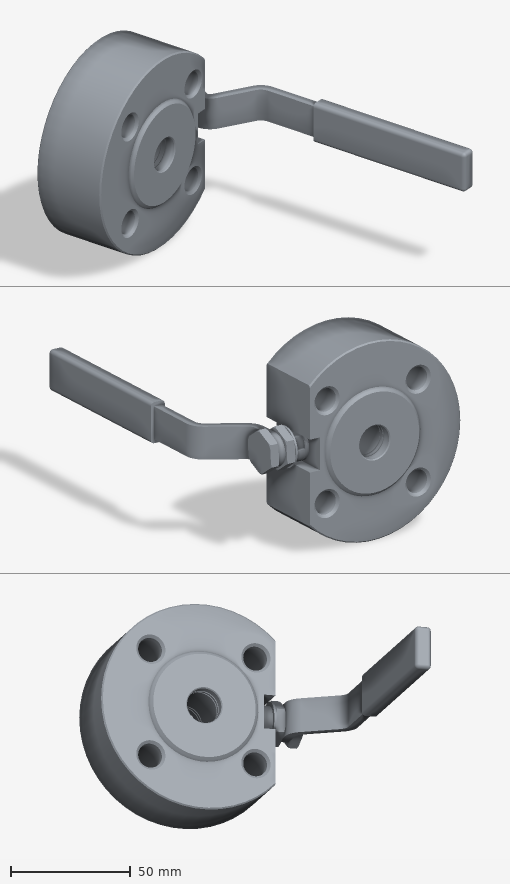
import cadquery as cq
import math


flange_dia = 89.0
flange_width = 32.5
flange_chamfer = 0.6
flat_y = 31.5
raised_dia = 48.0
raised_height = 1.6
bore_dia = 15.0
bore_chamfer = 0.5
bore_length = flange_width + 2 * raised_height
groove_dia = 15.8
groove_width = 0.7
groove_depths = (4.7, 7.0)
bolt_hole_dia = 10.4
bolt_hole_chamfer = 1.2
bolt_offset = 23.0
slot_depth = 5.0

stem_x = -0.9
stem_dia = 14.7
slot_floor_y = flat_y - slot_depth
collar_height = 1.8
collar_chamfer = 0.5
stop_size = 5.6
washer_y = 33.5
washer_dia = 18.4
washer_thickness = 0.9
nut_corner_dia = 19.5
nut_height = 4.1
nut_chamfer_height = 0.5
nut_chamfer_depth = 0.7
nut_turn = 5

lever_thickness = 4.0
lever_width = stem_dia
bend_angle = 58
bend_inner_radius = 5.0
bend_radius = bend_inner_radius + lever_thickness / 2
bend_end_x = 28.5
grip_start_x = 53.0
grip_end_x = 130.1
grip_thickness = 7.0
grip_width = 18.4
grip_fillet = 1.6
overall_depth = 109.5
grip_top_y = overall_depth - flange_dia / 2

lower_nut_y = washer_y + washer_thickness
lever_bottom_y = lower_nut_y + nut_height
upper_nut_y = lever_bottom_y + lever_thickness
lower_mid_y = lever_bottom_y + lever_thickness / 2
upper_mid_y = grip_top_y - grip_thickness / 2


def disc_x(diameter, width):
    """Cylinder along X, centred on the origin."""
    return cq.Workplane("YZ").circle(diameter / 2).extrude(width / 2, both=True)


def disc_y(diameter, start_y, height):
    """Cylinder along Y on the stem axis, rising from start_y."""
    plane = cq.Workplane("XZ", origin=(stem_x, start_y, 0))
    return plane.circle(diameter / 2).extrude(-height)


def make_housing():
    flange = disc_x(flange_dia, flange_width).edges().chamfer(flange_chamfer)
    flat_cut = cq.Workplane("XY").box(flange_width, flange_dia, flange_dia)
    flange = flange.cut(flat_cut.translate((0, flat_y + flange_dia / 2, 0)))

    half_width = flange_width / 2
    housing = flange
    for side in (-1, 1):
        raised = cq.Solid.makeCone(
            raised_dia / 2, raised_dia / 2 - raised_height, raised_height,
            cq.Vector(side * half_width, 0, 0), cq.Vector(side, 0, 0),
        )
        housing = housing.union(cq.Workplane(raised))

    housing = housing.cut(disc_x(bore_dia, bore_length))
    bore_mouths = housing.faces("<X or >X").edges(cq.selectors.RadiusNthSelector(0))
    housing = bore_mouths.chamfer(bore_chamfer)
    for depth in groove_depths:
        groove_x = bore_length / 2 - depth
        for side in (-1, 1):
            groove = disc_x(groove_dia, groove_width).translate((side * groove_x, 0, 0))
            housing = housing.cut(groove)

    bolt_hole = disc_x(bolt_hole_dia, flange_width)
    mouth_dia = bolt_hole_dia + 2 * bolt_hole_chamfer
    for y in (-bolt_offset, bolt_offset):
        for z in (-bolt_offset, bolt_offset):
            housing = housing.cut(bolt_hole.translate((0, y, z)))
            for side in (-1, 1):
                mouth = cq.Solid.makeCone(
                    mouth_dia / 2, bolt_hole_dia / 2, bolt_hole_chamfer,
                    cq.Vector(side * half_width, y, z), cq.Vector(-side, 0, 0),
                )
                housing = housing.cut(cq.Workplane(mouth))

    slot = cq.Workplane("XY").box(flange_width, slot_depth, stem_dia)
    return housing.cut(slot.translate((0, flat_y - slot_depth / 2, 0)))


def make_stem():
    collar = disc_y(stem_dia, slot_floor_y, collar_height).faces(">Y").edges().chamfer(collar_chamfer)
    neck_y = slot_floor_y + collar_height
    neck_height = washer_y - neck_y
    neck = disc_y(stem_dia, neck_y, neck_height)

    radius = stem_dia / 2
    neck_plane = cq.Workplane("XZ", origin=(stem_x, neck_y, 0))
    quarter = neck_plane.center(-radius / 2, radius / 2).rect(radius, radius).extrude(-neck_height)
    stop = neck_plane.center(-stop_size / 2, stop_size / 2).rect(stop_size, stop_size)
    neck = neck.cut(quarter).union(stop.extrude(-neck_height))
    return collar.union(neck)


def make_nut_blank(start_y):
    """Turned disc with conical rims that gives the nut its corner chamfers."""
    outer = nut_corner_dia / 2
    face = outer - nut_chamfer_depth
    profile = (
        cq.Workplane("XY", origin=(stem_x, start_y, 0))
        .lineTo(face, 0)
        .lineTo(outer, nut_chamfer_height)
        .lineTo(outer, nut_height - nut_chamfer_height)
        .lineTo(face, nut_height)
        .lineTo(0, nut_height)
        .close()
    )
    return profile.revolve(360, (0, 0, 0), (0, 1, 0))


def make_nut(start_y):
    """Hexagon nut whose corners are chamfered at both ends."""
    plane = cq.Workplane("XZ", origin=(stem_x, start_y, 0))
    hexagon = plane.transformed(rotate=(0, 0, 90 - nut_turn)).polygon(6, nut_corner_dia)
    blank = make_nut_blank(start_y)
    return hexagon.extrude(-nut_height).intersect(blank)


def make_lever():
    angle = math.radians(bend_angle)
    arc_run = bend_radius * math.sin(angle)
    arc_rise = bend_radius * (1 - math.cos(angle))
    slope_rise = upper_mid_y - lower_mid_y - 2 * arc_rise
    slope_run = slope_rise / math.tan(angle)
    bend_start_x = bend_end_x - 2 * arc_run - slope_run
    path = (
        cq.Workplane("XY")
        .moveTo(stem_x, lower_mid_y)
        .lineTo(bend_start_x, lower_mid_y)
        .tangentArcPoint((arc_run, arc_rise))
        .line(slope_run, slope_rise)
        .tangentArcPoint((arc_run, arc_rise))
        .lineTo(grip_end_x - grip_fillet, upper_mid_y)
    )
    profile = cq.Workplane("YZ", origin=(stem_x, lower_mid_y, 0)).rect(lever_thickness, lever_width)
    bar = profile.sweep(path)
    rounded_end = disc_y(lever_width, lever_bottom_y, lever_thickness)
    return bar.union(rounded_end)


def make_grip():
    plane = cq.Workplane("YZ", origin=(grip_start_x, upper_mid_y, 0))
    grip = plane.rect(grip_thickness, grip_width).extrude(grip_end_x - grip_start_x)
    return grip.edges("|X or >X").fillet(grip_fillet)


def make_operating_lever():
    """Stem, washer, nuts, lever and grip as one body."""
    lever = make_lever().union(make_grip()).union(make_stem())
    lever = lever.union(disc_y(washer_dia, washer_y, washer_thickness))
    for start_y in (lower_nut_y, upper_nut_y):
        lever = lever.union(make_nut(start_y))
    return lever


housing = make_housing().solids()
operating_lever = make_operating_lever().solids()
result = cq.Compound.makeCompound([housing.val(), operating_lever.val()])